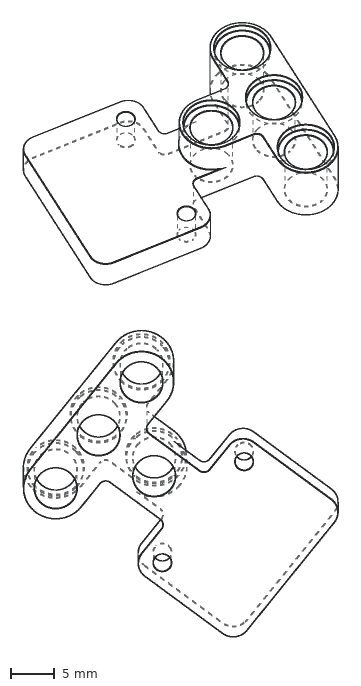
import cadquery as cq

total_length = 31.32
beam_height = 7.95
plate_height = beam_height / 2
edge_break = 0.078

pitch = 8.0
beam_width = 7.4
beam_radius = beam_width / 2
bore_diameter = 4.8
counterbore_diameter = 6.4
counterbore_depth = 0.9

plate_width = 20.3
plate_length = 15.15
plate_corner_radius = 2.0
screw_hole_diameter = 2.0
screw_hole_spacing = 15.22
screw_hole_inset = 2.57
neck_fillet_radius = 0.78

bar_y = total_length / 2 - beam_radius
boss_y = bar_y - pitch
plate_back_y = plate_length - total_length / 2
plate_center_y = (plate_length - total_length) / 2
pin_centers = [(-pitch, bar_y), (0, bar_y), (pitch, bar_y), (0, boss_y)]


def stem(y_low, y_high, height):
    """Straight beam-wide block centred on X, standing on the bottom face."""
    block = cq.Workplane("XY").box(beam_width, y_high - y_low, height, centered=(True, False, False))
    return block.translate((0, y_low, 0))


def fillet_neck_corners(body, corner_y):
    """Round the two inner vertical edges where the stem meets a wider shape."""
    margin = 0.15
    reach = beam_radius + margin
    corners = cq.selectors.BoxSelector(
        (-reach, corner_y - margin, 0), (reach, corner_y + margin, beam_height)
    )
    return body.edges("|Z").edges(corners).fillet(neck_fillet_radius)


def make_beam_head():
    crossbar = (
        cq.Workplane("XY").center(0, bar_y).slot2D(2 * pitch + beam_width, beam_width).extrude(beam_height)
    )
    boss = cq.Workplane("XY").center(0, boss_y).circle(beam_radius).extrude(beam_height)
    head = crossbar.union(stem(boss_y, bar_y, beam_height)).union(boss)
    head = fillet_neck_corners(head, bar_y - beam_radius)
    return head.faces(">Z or <Z").edges().chamfer(edge_break)


def make_plate():
    plate = cq.Workplane("XY").center(0, plate_center_y).rect(plate_width, plate_length).extrude(plate_height)
    plate = plate.edges("|Z").fillet(plate_corner_radius)
    plate = plate.union(stem(plate_center_y, bar_y, plate_height))
    plate = fillet_neck_corners(plate, plate_back_y)
    return plate.faces(">Z or <Z").edges().chamfer(edge_break)


def make_boss_foot():
    """Small bevel filling the corner where the round boss rises from the neck."""
    cone = (
        cq.Workplane("XY", origin=(0, boss_y, plate_height))
        .circle(beam_radius + edge_break)
        .workplane(offset=edge_break)
        .circle(beam_radius)
        .loft()
    )
    neck_top = cq.Workplane("XY", origin=(0, boss_y, plate_height)).rect(
        beam_width - 2 * edge_break, 2 * beam_width
    )
    return cone.intersect(neck_top.extrude(edge_break))


def turned(profile_points):
    """Solid of revolution about the Z axis from (radius, height) points."""
    return cq.Workplane("XZ").polyline(profile_points).close().revolve(360, (0, 0, 0), (0, 1, 0))


def make_bevelled_hole(diameter, depth):
    """Cutter for a hole rising from the bottom face, with both rims bevelled outwards."""
    radius = diameter / 2
    rim_radius = radius + edge_break
    return turned(
        [
            (0, 0),
            (rim_radius, 0),
            (radius, edge_break),
            (radius, depth - edge_break),
            (rim_radius, depth),
            (0, depth),
        ]
    )


def make_pin_hole():
    """Cutter for a bore and its counterbore, which is bevelled at the floor and at the rim."""
    ledge_z = beam_height - counterbore_depth
    radius = counterbore_diameter / 2
    counterbore = turned(
        [
            (0, ledge_z),
            (radius - edge_break, ledge_z),
            (radius, ledge_z + edge_break),
            (radius, beam_height - edge_break),
            (radius + edge_break, beam_height),
            (0, beam_height),
        ]
    )
    return make_bevelled_hole(bore_diameter, ledge_z).union(counterbore)


result = make_beam_head().union(make_plate()).union(make_boss_foot())

pin_hole = make_pin_hole()
for x, y in pin_centers:
    result = result.cut(pin_hole.translate((x, y, 0)))

screw_hole = make_bevelled_hole(screw_hole_diameter, plate_height)
for side in (-1, 1):
    screw_x = side * screw_hole_spacing / 2
    result = result.cut(screw_hole.translate((screw_x, plate_back_y - screw_hole_inset, 0)))